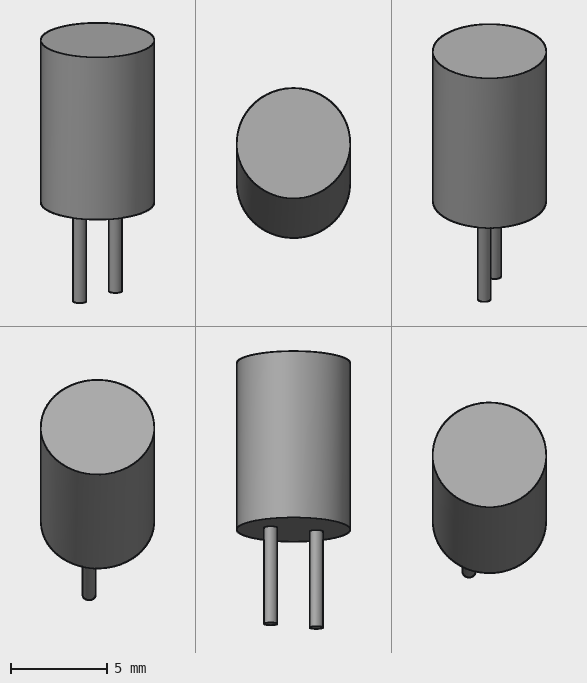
import cadquery as cq

total_height = 13.95
case_diameter = 5.9
lead_length = 5.1
lead_diameter = 0.7
lead_pitch = 2.54
case_height = total_height - lead_length


def make_case():
    """Plain cylindrical case standing on Z = 0."""
    return cq.Workplane("XY").circle(case_diameter / 2).extrude(case_height)


def make_lead(y):
    """Round lead hanging from the underside of the case at the given Y."""
    return cq.Workplane("XY").center(0, y).circle(lead_diameter / 2).extrude(-lead_length)


case = make_case()

leads = []
for side in (-1, 1):
    lead = make_lead(side * lead_pitch / 2)
    leads.append(lead.val())

result = cq.Compound.makeCompound([case.val(), *leads])